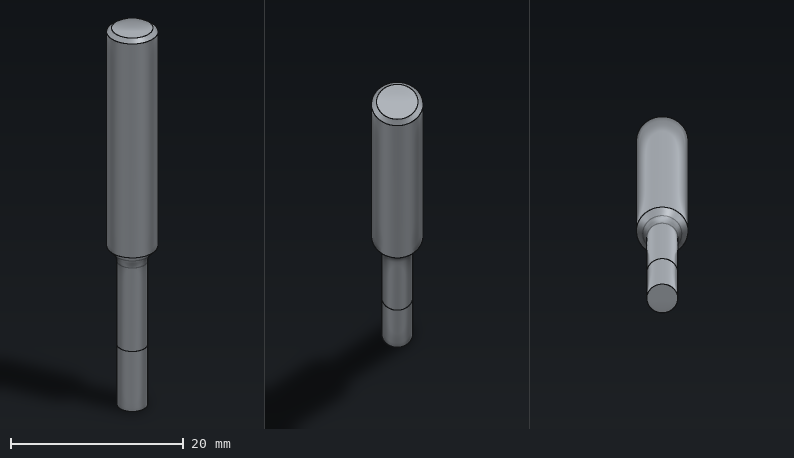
import cadquery as cq
import math

total_length = 50.0
shank_radius = 3.0
neck_radius = 1.8

tip_length = 8.0
neck_end = 19.1

round_radius = 1.8
cone_angle = math.radians(42)

bevel_height = 0.45
bevel_width = 0.6

round_center_radius = neck_radius + round_radius


def point_on_round(angle):
    """Point (radius, height) on the round, at an angle turned from its start at the neck."""
    return (
        round_center_radius - round_radius * math.cos(angle),
        neck_end + round_radius * math.sin(angle),
    )


def make_tip():
    """Plain cylindrical tip below the joint."""
    return cq.Workplane("XY").circle(neck_radius).extrude(tip_length)


def make_shank():
    """Turned shank with its slim neck, seated on the end face of the tip."""
    round_end = point_on_round(cone_angle)
    cone_height = (shank_radius - round_end[0]) / math.tan(cone_angle)
    shoulder_height = round_end[1] + cone_height
    return (
        cq.Workplane("XZ")
        .moveTo(0, tip_length)
        .lineTo(neck_radius, tip_length)
        .lineTo(neck_radius, neck_end)
        .threePointArc(point_on_round(cone_angle / 2), round_end)
        .lineTo(shank_radius, shoulder_height)
        .lineTo(shank_radius, total_length - bevel_height)
        .lineTo(shank_radius - bevel_width, total_length)
        .lineTo(0, total_length)
        .close()
        .revolve(360, (0, 0, 0), (0, 1, 0))
    )


tip = make_tip()
shank = make_shank()

result = cq.Compound.makeCompound([tip.val(), shank.val()])